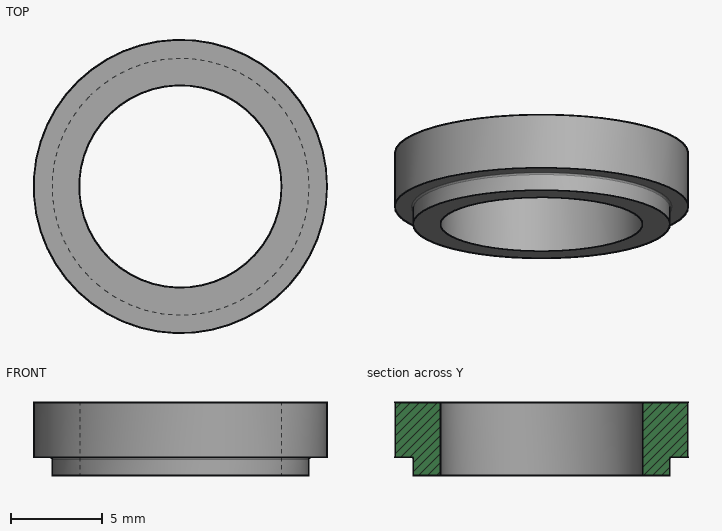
import cadquery as cq

outer_diameter = 16.0
bore_diameter = 11.0
spigot_diameter = 14.0
total_height = 4.0
spigot_height = 1.0
root_fillet = 0.1

spigot = cq.Workplane("XY").circle(spigot_diameter / 2).extrude(spigot_height)
ring = (
    cq.Workplane("XY")
    .workplane(offset=spigot_height)
    .circle(outer_diameter / 2)
    .extrude(total_height - spigot_height)
)
body = spigot.union(ring)

shoulder_corner = cq.selectors.RadiusNthSelector(0)
body = body.faces("<Z[1]").edges(shoulder_corner).fillet(root_fillet)

bore = cq.Workplane("XY").circle(bore_diameter / 2).extrude(total_height)
result = body.cut(bore)